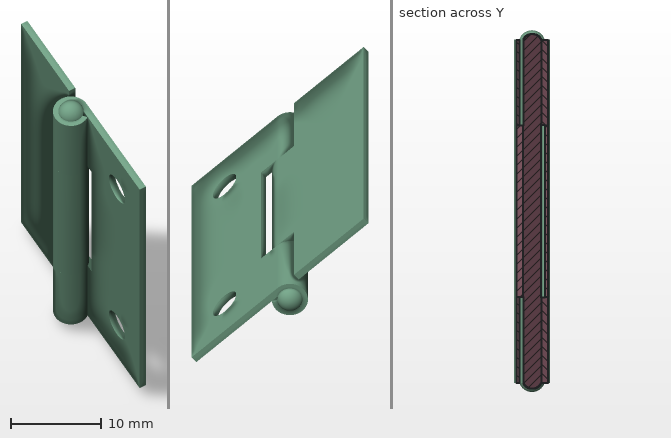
import cadquery as cq
import math

hinge_width = 26.0
pin_length = 40.0
leaf_height = 38.0
leaf_thickness = 0.8

knuckle_radius = 2.0
pin_radius = 1.4
roll_end_angle = 35.0
middle_knuckle_height = leaf_height / 2
end_knuckle_height = (leaf_height - middle_knuckle_height) / 2
dome_height = (pin_length - leaf_height) / 2
clearance_x = 2.5

hole_diameter = 3.5
hole_x = 8.0
hole_spacing = 26.0

half_width = hinge_width / 2
half_height = leaf_height / 2
half_middle = middle_knuckle_height / 2
leaf_inner_y = knuckle_radius - leaf_thickness


def plate(side, x_start, z_bottom, height):
    """Flat strip from x_start out to the hinge edge; side is +1 (right) or -1 (left)."""
    length = half_width - x_start
    return (
        cq.Workplane("XY")
        .box(length, leaf_thickness, height, centered=(True, False, False))
        .translate((side * (x_start + length / 2), leaf_inner_y, z_bottom))
    )


def roll_gap(side, z_bottom, height):
    """Wedge between the free radial end of the rolled barrel and the inner face of the leaf."""
    end_x = side * knuckle_radius * math.cos(math.radians(roll_end_angle))
    end_y = knuckle_radius * math.sin(math.radians(roll_end_angle))
    return (
        cq.Workplane("XY")
        .workplane(offset=z_bottom)
        .polyline([(0, 0), (end_x, end_y), (end_x, leaf_inner_y), (0, leaf_inner_y)])
        .close()
        .extrude(height)
    )


def knuckle_section(side, z_bottom, height):
    """Strip of leaf rolled into a barrel around the pin, with a gap where the roll ends."""
    barrel = cq.Workplane("XY").workplane(offset=z_bottom).circle(knuckle_radius).extrude(height)
    bore = cq.Workplane("XY").workplane(offset=z_bottom).circle(pin_radius).extrude(height)
    rolled_strip = plate(side, 0, z_bottom, height).union(barrel)
    return rolled_strip.cut(bore).cut(roll_gap(side, z_bottom, height))


def make_left_leaf():
    """Plain leaf with the single middle knuckle."""
    leaf = plate(-1, clearance_x, -half_height, leaf_height)
    return leaf.union(knuckle_section(-1, -half_middle, middle_knuckle_height))


def make_right_leaf():
    """Leaf with the two end knuckles and the screw holes."""
    leaf = plate(1, clearance_x, -half_height, leaf_height)
    for z_bottom in (-half_height, half_middle):
        leaf = leaf.union(knuckle_section(1, z_bottom, end_knuckle_height))
    holes = (
        cq.Workplane("XZ")
        .pushPoints([(hole_x, -hole_spacing / 2), (hole_x, hole_spacing / 2)])
        .circle(hole_diameter / 2)
        .extrude(-knuckle_radius)
    )
    return leaf.cut(holes)


def make_pin():
    """Round pin with a shallow spherical dome at each end."""
    half_length = pin_length / 2
    dome_radius = (pin_radius**2 + dome_height**2) / (2 * dome_height)
    dome_mid_x = pin_radius / 2
    dome_centre_z = half_length - dome_radius
    dome_mid_z = dome_centre_z + math.sqrt(dome_radius**2 - dome_mid_x**2)
    return (
        cq.Workplane("XZ")
        .moveTo(0, -half_length)
        .threePointArc((dome_mid_x, -dome_mid_z), (pin_radius, -half_height))
        .lineTo(pin_radius, half_height)
        .threePointArc((dome_mid_x, dome_mid_z), (0, half_length))
        .close()
        .revolve(360, (0, 0, 0), (0, 1, 0))
    )


left_leaf = make_left_leaf()
right_leaf = make_right_leaf()
pin = make_pin()

result = cq.Compound.makeCompound([left_leaf.val(), right_leaf.val(), pin.val()])